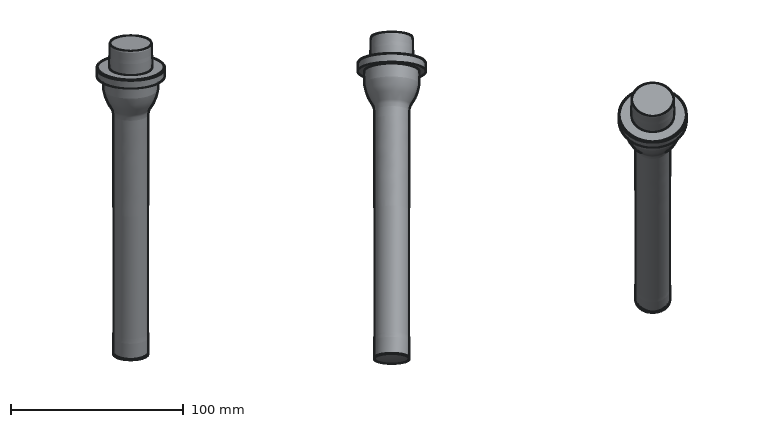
import cadquery as cq

total_height = 195.0
foot_height = 1.4
land_top = 11.0
waist_bottom = 13.8
waist_top = 90.3
taper_top = 144.7
neck_top = 150.3
bell_top = 166.5
flange_bottom = 174.5
flange_top = 180.0
ramp_bottom = 186.6
ramp_top = 189.0

shaft_diameter = 20.5
waist_diameter = 20.3
bell_diameter = 32.0
flange_diameter = 39.5
plug_diameter = 25.0
plug_tip_diameter = 24.8

foot_bevel_width = 0.5
dome_height = 0.8
flange_chamfer = 0.5
plug_chamfer_width = 0.4
plug_chamfer_height = 1.4

flare_radius = 13.3
flare_height = 158.0
bell_rim_slope = 0.15


def make_stem():
    """Turned stem with a waisted shaft, a bell, a flange and a lead-in plug."""
    shaft_radius = shaft_diameter / 2
    waist_radius = waist_diameter / 2
    bell_radius = bell_diameter / 2
    flange_radius = flange_diameter / 2
    plug_radius = plug_diameter / 2
    tip_radius = plug_tip_diameter / 2
    return (
        cq.Workplane("XZ")
        .moveTo(0, foot_height)
        .lineTo(shaft_radius, foot_height)
        .lineTo(shaft_radius, land_top)
        .lineTo(waist_radius, waist_bottom)
        .lineTo(waist_radius, waist_top)
        .lineTo(shaft_radius, taper_top)
        .lineTo(shaft_radius, neck_top)
        .spline(
            [(flare_radius, flare_height), (bell_radius, bell_top)],
            tangents=[(0, 1), (bell_rim_slope, 1)],
            includeCurrent=True,
        )
        .lineTo(bell_radius, flange_bottom)
        .lineTo(flange_radius, flange_bottom)
        .lineTo(flange_radius, flange_top - flange_chamfer)
        .lineTo(flange_radius - flange_chamfer, flange_top)
        .lineTo(plug_radius, flange_top)
        .lineTo(plug_radius, ramp_bottom)
        .lineTo(tip_radius, ramp_top)
        .lineTo(tip_radius, total_height - plug_chamfer_height)
        .lineTo(tip_radius - plug_chamfer_width, total_height)
        .lineTo(0, total_height)
        .close()
        .revolve(360, (0, 0), (0, 1))
    )


def make_foot():
    """Cap on the lower end of the stem: bevelled upper rim and a shallow domed underside."""
    rim_radius = shaft_diameter / 2
    top_radius = rim_radius - foot_bevel_width
    dome_radius = (rim_radius**2 + dome_height**2) / (2 * dome_height)
    return (
        cq.Workplane("XZ")
        .radiusArc((rim_radius, dome_height), -dome_radius)
        .lineTo(top_radius, foot_height)
        .lineTo(0, foot_height)
        .close()
        .revolve(360, (0, 0), (0, 1))
    )


stem = make_stem()
foot = make_foot()
result = cq.Compound.makeCompound([stem.val(), foot.val()])